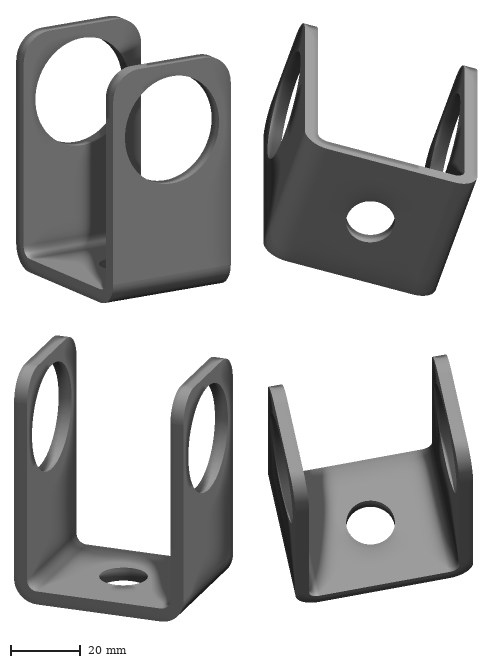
import cadquery as cq

width = 52.0
depth = 40.0
height = 70.0

thickness = 4.0
inner_bend_radius = 3.0
outer_bend_radius = inner_bend_radius + thickness

corner_radius = 8.6

arm_hole_diameter = 32.0
arm_hole_from_top = 19.8
base_hole_diameter = 14.0


def make_channel():
    """U-shaped strip: two arms joined to the base by concentric bends."""
    outer = (
        cq.Workplane("XY")
        .box(width, depth, height, centered=(True, True, False))
        .edges("|Y and <Z")
        .fillet(outer_bend_radius)
    )
    cavity = (
        cq.Workplane("XY")
        .workplane(offset=thickness)
        .box(width - 2 * thickness, depth, height - thickness, centered=(True, True, False))
        .edges("|Y and <Z")
        .fillet(inner_bend_radius)
    )
    return outer.cut(cavity)


def make_arm_holes():
    """One cylinder along X that pierces both arms."""
    return (
        cq.Workplane("YZ")
        .center(0, height - arm_hole_from_top)
        .circle(arm_hole_diameter / 2)
        .extrude(width / 2, both=True)
    )


def make_base_hole():
    """Vertical cylinder through the middle of the base."""
    return cq.Workplane("XY").circle(base_hole_diameter / 2).extrude(thickness)


channel = make_channel().edges("|X and >Z").edges("<Y or >Y").fillet(corner_radius)
result = channel.cut(make_arm_holes()).cut(make_base_hole())